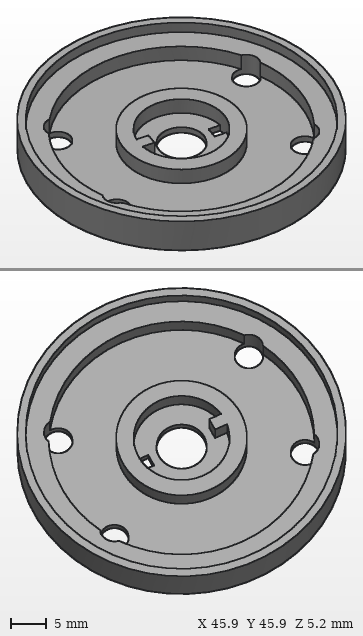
import cadquery as cq

disc_diameter = 45.9
disc_height = 5.2
floor_thickness = 1.0

recess_diameter = 43.5
recess_depth = 1.7
pocket_diameter = 37.1
ledge_height = disc_height - recess_depth

ring_outer_diameter = 18.25
ring_bore_diameter = 13.4
center_hole_diameter = 7.0

key_width = 1.85
key_inner_y = 4.77
ring_middle_radius = (ring_outer_diameter + ring_bore_diameter) / 4

mount_hole_diameter = 4.0
mount_spacing_x = 17.25
mount_spacing_y = 29.85


def cylinder(diameter, bottom, top):
    """Upright cylinder on the disc axis."""
    return cq.Workplane("XY").workplane(offset=bottom).circle(diameter / 2).extrude(top - bottom)


def key_block(y_start, y_end, bottom, top):
    """Upright block of key width, centered on X."""
    return (
        cq.Workplane("XY")
        .workplane(offset=bottom)
        .center(0, (y_start + y_end) / 2)
        .rect(key_width, abs(y_end - y_start))
        .extrude(top - bottom)
    )


body = cylinder(disc_diameter, 0, disc_height)
body = body.cut(cylinder(recess_diameter, ledge_height, disc_height))
body = body.cut(cylinder(pocket_diameter, floor_thickness, ledge_height))

ring = cylinder(ring_outer_diameter, floor_thickness, ledge_height)
ring = ring.cut(cylinder(ring_bore_diameter, floor_thickness, ledge_height))
key = key_block(-ring_middle_radius, -key_inner_y, floor_thickness, ledge_height)
body = body.union(ring).union(key)

body = body.cut(cylinder(center_hole_diameter, 0, floor_thickness))

keyway = key_block(key_inner_y, ring_middle_radius, 0, floor_thickness)
keyway = keyway.intersect(cylinder(ring_bore_diameter, 0, floor_thickness))
body = body.cut(keyway)

mount_holes = (
    cq.Workplane("XY")
    .rarray(mount_spacing_x, mount_spacing_y, 2, 2)
    .circle(mount_hole_diameter / 2)
    .extrude(disc_height)
)
result = body.cut(mount_holes)